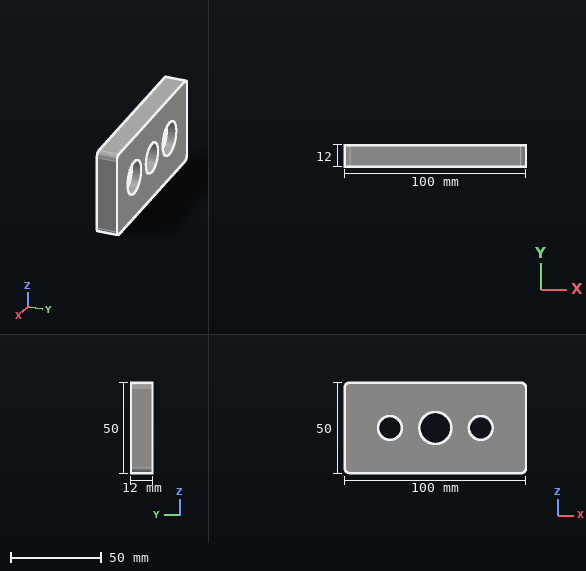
import cadquery as cq

length = 100.0
thickness = 12.0
height = 50.0
corner_radius = 3.0

centre_hole_diameter = 17.5
side_hole_diameter = 13.0
side_hole_spacing = length / 2

counterbore_diameter = 19.5
counterbore_depth = 5.5

side_hole_places = [(-side_hole_spacing / 2, 0), (side_hole_spacing / 2, 0)]


def cylinders_from_back(places, diameter, depth):
    """Cylinders that start on the +Y face and run depth into the plate."""
    back_face = cq.Workplane("XZ", origin=(0, thickness / 2, 0))
    return back_face.pushPoints(places).circle(diameter / 2).extrude(depth)


plate = cq.Workplane("XY").box(length, thickness, height).edges("|Y").fillet(corner_radius)
centre_hole = cylinders_from_back([(0, 0)], centre_hole_diameter, thickness)
side_holes = cylinders_from_back(side_hole_places, side_hole_diameter, thickness)
counterbores = cylinders_from_back(side_hole_places, counterbore_diameter, counterbore_depth)

result = plate.cut(centre_hole).cut(side_holes).cut(counterbores)